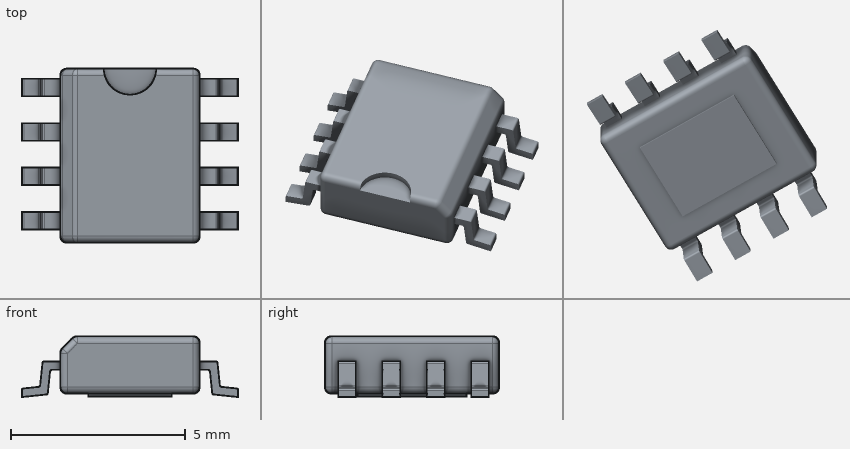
import cadquery as cq
import math

overall_length = 6.2
overall_height = 1.75

housing_length = 4.0
housing_width = 5.0
housing_bottom = 0.1
housing_height = overall_height - housing_bottom
housing_edge_radius = 0.2
bevel_size = 0.4

notch_radius = 0.75
notch_depth = 0.2

leads_per_side = 4
lead_pitch = 1.27
lead_width = 0.51
lead_thickness = 0.25
lead_row_offset = 0.045
lead_tilt = math.radians(6.0)
shoulder_top = 1.03
shoulder_reach = 2.505
lead_bend_radius = 0.055

pad_length = 2.405
pad_width = 3.125
pad_bottom = 0.02


def make_housing():
    """Block bevelled along its -X top edge, with every edge rounded and a notch at +Y."""
    block = cq.Workplane("XY").box(
        housing_length, housing_width, housing_height, centered=(True, True, False)
    )
    block = block.translate((0, 0, housing_bottom))
    block = block.faces(">Z").edges("<X").chamfer(bevel_size)
    block = block.edges().fillet(housing_edge_radius)
    notch = (
        cq.Workplane("XY", origin=(0, housing_width / 2, overall_height - notch_depth))
        .circle(notch_radius)
        .extrude(notch_depth)
    )
    return block.cut(notch)


def make_lead():
    """Lead on the +X side, centred on Y = 0: flat shoulder, leaning leg and drooping foot."""
    slope = math.tan(lead_tilt)
    slanted_thickness = lead_thickness / math.cos(lead_tilt)
    root_x = housing_length / 2
    tip_x = overall_length / 2
    shoulder_bottom = shoulder_top - lead_thickness
    inner_reach = shoulder_reach - slanted_thickness

    def leg_meets_foot(leg_top_x, foot_tip_z):
        """Crossing of a leg face starting at shoulder_top and a foot face ending at tip_x."""
        level_drop = shoulder_top - foot_tip_z - (tip_x - leg_top_x) * slope
        leg_drop = level_drop / (1 - slope**2)
        return leg_top_x + leg_drop * slope, shoulder_top - leg_drop

    root_top = (root_x, shoulder_top)
    root_bottom = (root_x, shoulder_bottom)
    tip_bottom = (tip_x, 0)
    rounded_outside = [
        (shoulder_reach, shoulder_top),
        leg_meets_foot(shoulder_reach, slanted_thickness),
        (tip_x, slanted_thickness),
    ]
    rounded_inside = [
        leg_meets_foot(inner_reach, 0),
        (inner_reach + lead_thickness * slope, shoulder_bottom),
    ]
    outline = [root_top, *rounded_outside, tip_bottom, *rounded_inside, root_bottom]
    lead = cq.Workplane("XZ").polyline(outline).close().extrude(lead_width / 2, both=True)
    for x, z in rounded_outside + rounded_inside:
        edge = lead.edges("|Y").edges(cq.selectors.NearestToPointSelector((x, 0, z)))
        lead = edge.fillet(lead_bend_radius)
    return lead


def make_package():
    """Housing with its two rows of leads."""
    package = make_housing()
    right_lead = make_lead()
    left_lead = right_lead.mirror("YZ")
    for index in range(leads_per_side):
        y = lead_row_offset + (index - (leads_per_side - 1) / 2) * lead_pitch
        package = package.union(right_lead.translate((0, y, 0)))
        package = package.union(left_lead.translate((0, y, 0)))
    return package


def make_thermal_pad():
    """Flat plate against the underside of the housing."""
    return (
        cq.Workplane("XY", origin=(0, 0, pad_bottom))
        .rect(pad_length, pad_width)
        .extrude(housing_bottom - pad_bottom)
    )


package = make_package()
thermal_pad = make_thermal_pad()

result = cq.Compound.makeCompound([package.val(), thermal_pad.val()])